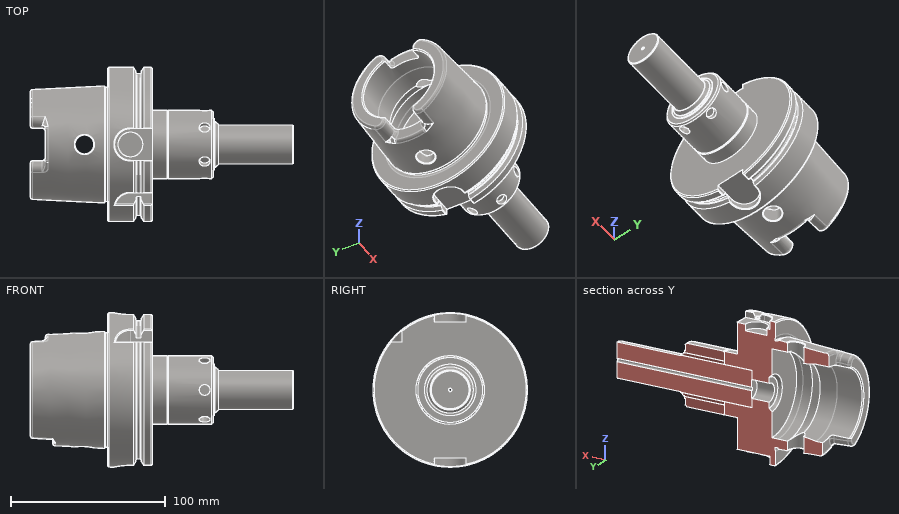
import cadquery as cq
import math


tolerance = 0.02

flange_start = 50.0
flange_end = 79.0
nose_end = 88.9
nut_end = 118.3
shank_end = 170.0

taper_radius_open = 35.5
taper_radius_flange = 37.9
taper_end = 48.0
relief_radius = 37.0
relief_start = 48.6
relief_face_radius = 39.6
relief_face_depth = 0.5
bore_radius = 26.5
bore_length = 19.5
bore_throat_radius = 24.8
bore_throat_end = 31.5
undercut_radius = 30.6
undercut_start = 40.8
bore_floor = 52.7
bore_lip = 0.8
lip_fillet = 1.7

seat_outer_radius = 25.3 / 2
seat_inner_radius = 21.0 / 2
seat_depth = seat_outer_radius - seat_inner_radius
seat_hole_diameter = 12.8

slot_half_width = 10.4
slot_corner_radius = 5.1
slot_floor_fillet = 2.0
upper_slot_depth = 9.7
lower_slot_depth = 14.5

cross_hole_x = 35.0
cross_hole_diameter = 12.0
cross_hole_chamfer = 0.5

flange_radius = 50.0
flange_chamfer = 0.8
groove_center = flange_start + 20.0
groove_half_width = 3.4
groove_floor_half_width = 1.7
groove_flank_depth = 2.5
groove_depth = 4.0
groove_floor_fillet = 0.7

keyway_radius = 10.2
keyway_center_x = flange_start + 14.8
keyway_floor_height = 44.0
notch_wall_y = -31.3
notch_floor_height = 31.1
pocket_rim_chamfer = 0.5
chip_recess_diameter = 16.0
chip_recess_depth = 4.6

nut_radius = 44.4 / 2
joint_chamfer = 0.5
nut_chamfer = 1.2
nut_lip_radius = 16.7
nut_lip_length = 0.7
wrench_hole_count = 6
wrench_hole_diameter = 7.0
wrench_hole_depth = 4.2
wrench_hole_x = 112.7

collet_radius = 30.0 / 2
collet_tip_radius = 26.0 / 2
collet_cone_start = 119.5
collet_end = 121.7

shank_radius = 25.3 / 2
shank_start = 68.0
shank_chamfer = 0.5
coolant_diameter = 2.0


def revolve_about_x(outline):
    """Solid of revolution about X from (x, radius) points."""
    return cq.Workplane("XY").polyline(outline).close().revolve(360, (0, 0, 0), (1, 0, 0))


def cylinder_along_x(radius, start, end):
    return cq.Workplane("YZ", origin=(start, 0, 0)).circle(radius).extrude(end - start)


def on_slot_wall_rim(edge):
    """True for an edge where a drive slot wall meets the outside of the taper."""
    middle = edge.Center()
    on_wall = abs(abs(middle.y) - slot_half_width) < tolerance
    return on_wall and abs(middle.z) > bore_radius and edge.BoundingBox().xlen > upper_slot_depth / 2


def drive_slot(depth):
    """Upward slot cutter, open at the end of the taper."""
    return cq.Workplane("XY").box(
        2 * depth, 2 * slot_half_width, flange_radius, centered=(True, True, False)
    )


def hollow_taper():
    """Slotted hollow taper, up to the relief in front of the flange."""
    taper = revolve_about_x([
        (0, bore_radius),
        (0, taper_radius_open),
        (taper_end, taper_radius_flange),
        (taper_end, undercut_radius),
        (undercut_start, undercut_radius),
        (bore_throat_end, bore_throat_radius),
        (bore_length, bore_radius),
    ])
    taper = taper.cut(drive_slot(upper_slot_depth))
    taper = taper.cut(drive_slot(lower_slot_depth).rotate((0, 0, 0), (1, 0, 0), 180))
    taper = taper.edges().filter(on_slot_wall_rim).fillet(slot_corner_radius)

    for depth in (upper_slot_depth, lower_slot_depth):
        floor_walls = (
            taper.edges()
            .filter(lambda edge: abs(edge.Center().x - depth) < tolerance)
            .filter(lambda edge: edge.BoundingBox().xlen < tolerance)
            .filter(lambda edge: edge.BoundingBox().ylen < slot_half_width)
        )
        taper = floor_walls.fillet(slot_floor_fillet)
    lip_edges = taper.faces("<X").edges().filter(
        lambda edge: math.hypot(edge.positionAt(0.5).y, edge.positionAt(0.5).z) > bore_radius + tolerance
        or edge.geomType() == "LINE"
    )
    taper = lip_edges.fillet(lip_fillet)
    lip_chamfer = revolve_about_x([
        (0, 0),
        (0, bore_radius + bore_lip),
        (bore_lip, bore_radius),
        (bore_lip, 0),
    ])
    taper = taper.cut(lip_chamfer)

    taper = taper.cut(
        cq.Workplane("XY", origin=(cross_hole_x, 0, 0))
        .circle(cross_hole_diameter / 2)
        .extrude(flange_radius, both=True)
    )
    mouths = taper.edges().filter(
        lambda edge: abs(edge.Center().z) > undercut_radius
        and abs(edge.Center().x - cross_hole_x) < cross_hole_diameter / 2
        and edge.BoundingBox().ylen > cross_hole_diameter - tolerance
    )
    return mouths.chamfer(cross_hole_chamfer)


def gripper_groove():
    """Ring-shaped cutter with sloped flanks and a rounded floor."""
    wall_radius = flange_radius - groove_flank_depth
    floor_radius = flange_radius - groove_depth
    ring = revolve_about_x([
        (groove_center - groove_half_width, flange_radius),
        (groove_center - groove_floor_half_width, wall_radius),
        (groove_center - groove_floor_half_width, floor_radius),
        (groove_center + groove_floor_half_width, floor_radius),
        (groove_center + groove_floor_half_width, wall_radius),
        (groove_center + groove_half_width, flange_radius),
    ])
    return ring.edges(cq.selectors.RadiusNthSelector(0)).fillet(groove_floor_fillet)


def flange_pocket(center_y, floor_height):
    """Round-ended milled pocket, open towards the nose."""
    length = flange_end - keyway_center_x
    height = flange_radius - floor_height
    base = cq.Workplane("XY", origin=(keyway_center_x, center_y, floor_height))
    round_end = base.circle(keyway_radius).extrude(height)
    straight = base.rect(2 * length, 2 * keyway_radius).extrude(height)
    open_half = straight.intersect(
        base.center(length, 0).rect(2 * length, 2 * keyway_radius).extrude(height)
    )
    return round_end.union(open_half)


def on_pocket_rim(edge):
    """True for an edge where a pocket breaks through the round outside of the flange."""
    on_outside = all(
        abs(math.hypot(edge.positionAt(t).y, edge.positionAt(t).z) - flange_radius) < tolerance
        for t in (0, 0.5, 1)
    )
    return on_outside and edge.BoundingBox().xlen > tolerance and edge.Center().y < flange_radius / 2


def make_flange():
    flange = cylinder_along_x(flange_radius, flange_start, flange_end)

    keyway = flange_pocket(0, keyway_floor_height)
    notch = flange_pocket(notch_wall_y - keyway_radius, notch_floor_height)
    flange = flange.cut(keyway).cut(keyway.mirror("XY")).cut(notch)
    flange = flange.edges().filter(on_pocket_rim).chamfer(pocket_rim_chamfer)

    recess = (
        cq.Workplane("XY", origin=(keyway_center_x, 0, keyway_floor_height))
        .circle(chip_recess_diameter / 2)
        .extrude(-chip_recess_depth)
    )
    flange = flange.cut(recess)

    envelope = revolve_about_x([
        (flange_start + relief_face_depth, 0),
        (flange_start + relief_face_depth, relief_radius),
        (flange_start, relief_face_radius),
        (flange_start, flange_radius - flange_chamfer),
        (flange_start + flange_chamfer, flange_radius),
        (flange_end - flange_chamfer, flange_radius),
        (flange_end, flange_radius - flange_chamfer),
        (flange_end, 0),
    ])
    return flange.intersect(envelope).cut(gripper_groove())


def core():
    """Relieved neck in front of the flange and the nose behind it."""
    return revolve_about_x([
        (taper_end, 0),
        (taper_end, taper_radius_flange),
        (relief_start, relief_radius),
        (flange_start + relief_face_depth, relief_radius),
        (flange_start + relief_face_depth, nut_radius),
        (nose_end - joint_chamfer, nut_radius),
        (nose_end, nut_radius - joint_chamfer),
        (nose_end, 0),
    ])


def make_housing():
    housing = hollow_taper().union(core()).union(make_flange())

    housing = housing.cut(revolve_about_x([
        (taper_end, 0),
        (taper_end, undercut_radius),
        (bore_floor, undercut_radius),
        (bore_floor, seat_outer_radius),
        (bore_floor + seat_depth, seat_inner_radius),
        (bore_floor + seat_depth, 0),
    ]))
    housing = housing.cut(cylinder_along_x(seat_hole_diameter / 2, bore_floor, shank_start))
    return housing.cut(cylinder_along_x(shank_radius, shank_start, nose_end))


def make_nut():
    nut = revolve_about_x([
        (nose_end, collet_radius),
        (nose_end, nut_radius - joint_chamfer),
        (nose_end + joint_chamfer, nut_radius),
        (nut_end - nut_chamfer, nut_radius),
        (nut_end, nut_radius - nut_chamfer),
        (nut_end, nut_lip_radius),
        (nut_end + nut_lip_length, nut_lip_radius),
        (nut_end + nut_lip_length, collet_radius),
    ])
    hole = (
        cq.Workplane("XZ", origin=(wrench_hole_x, wrench_hole_depth - nut_radius, 0))
        .circle(wrench_hole_diameter / 2)
        .extrude(nut_radius)
    )
    for index in range(wrench_hole_count):
        nut = nut.cut(hole.rotate((0, 0, 0), (1, 0, 0), index * 360 / wrench_hole_count))
    return nut


def make_collet():
    return revolve_about_x([
        (nose_end, shank_radius),
        (nose_end, collet_radius),
        (collet_cone_start, collet_radius),
        (collet_end, collet_tip_radius),
        (collet_end, shank_radius),
    ])


def make_shank():
    shank = cylinder_along_x(shank_radius, shank_start, shank_end)
    shank = shank.faces(">X").chamfer(shank_chamfer)
    return shank.cut(cylinder_along_x(coolant_diameter / 2, shank_start, shank_end))


housing = make_housing()
nut = make_nut()
collet = make_collet()
shank = make_shank()

result = cq.Compound.makeCompound([housing.val(), nut.val(), collet.val(), shank.val()])